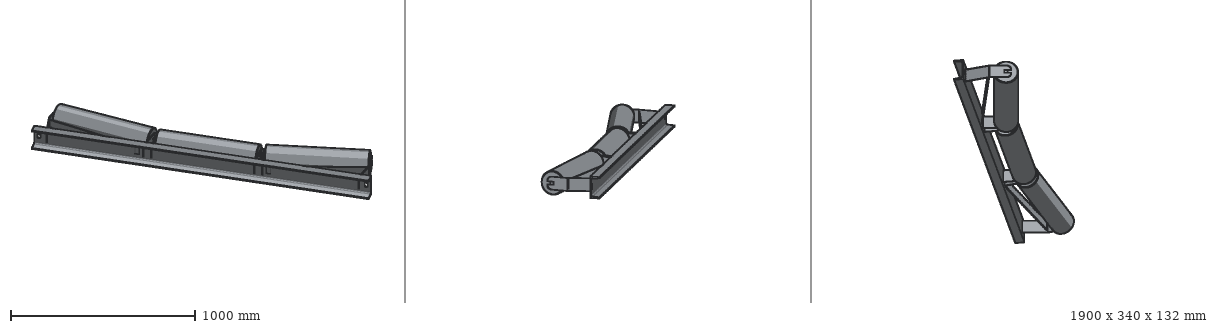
import cadquery as cq
import math


overall_depth = 340.0

beam_length = 1900.0
beam_height = 120.0
beam_depth = 51.0
web_thickness = 5.0
flange_tip_thickness = 8.0
flange_root_thickness = 11.0
root_radius = 8.0
slot_inset = 27.0
mount_slot_width = 17.0
mount_slot_height = 28.0

roller_radius = 66.0
roller_length = 570.0
roller_chamfer = 4.0
trough_angle = 10.0
centre_roller_y = 118.0
wing_roller_x = 600.0
tang_width = 17.0
tang_height = 17.0

plate_thickness = 5.0
plate_width = 72.0
end_clearance = 4.0
inner_bracket_height = 142.0
outer_bracket_bend_y = 137.0
outer_bracket_rise = 28.0
outer_bracket_corner = 27.0
brace_foot_x = 360.0
brace_width = 50.0

tilt = math.radians(trough_angle)
tang_length = end_clearance + plate_thickness
half_roller = roller_length / 2
inner_face = half_roller + end_clearance
outer_face = inner_face + plate_thickness
wing_roller_y = (
    overall_depth
    - beam_depth
    - (half_roller - roller_chamfer) * math.sin(tilt)
    - roller_radius * math.cos(tilt)
)
plate_run = plate_thickness / math.cos(tilt)


def wing_point(along, across):
    """XY point of the +X wing roller: distance along its axis and above its axis."""
    return (
        wing_roller_x + along * math.cos(tilt) - across * math.sin(tilt),
        wing_roller_y + along * math.sin(tilt) + across * math.cos(tilt),
    )


def wing_plane_x(along, y):
    """X at height y on the plane square to the wing roller axis, at a distance along it."""
    return wing_roller_x + along / math.cos(tilt) - (y - wing_roller_y) * math.tan(tilt)


def plate_from_outline(points, width):
    """Extrude an XY outline to a width centred on Z = 0."""
    return cq.Workplane("XY").polyline(points).close().extrude(width).translate((0, 0, -width / 2))


def place_on_wing(body):
    """Move a body from the origin, lying along X, to the +X wing roller axis."""
    return body.rotate((0, 0, 0), (0, 0, 1), trough_angle).translate((wing_roller_x, wing_roller_y, 0))


def mirrored_pair(body):
    """The +X body and its mirror image on the -X side, as separate solids."""
    return [body.val(), body.mirror("YZ").val()]


def make_beam():
    half_height = beam_height / 2
    root_z = half_height - flange_root_thickness
    tip_z = half_height - flange_tip_thickness
    beam = (
        cq.Workplane("YZ")
        .polyline([
            (0, -half_height),
            (0, half_height),
            (-beam_depth, half_height),
            (-beam_depth, tip_z),
            (-web_thickness, root_z),
            (-web_thickness, -root_z),
            (-beam_depth, -tip_z),
            (-beam_depth, -half_height),
        ])
        .close()
        .extrude(beam_length)
        .translate((-beam_length / 2, 0, 0))
    )
    for corner_z in (-root_z, root_z):
        root_corner = cq.selectors.NearestToPointSelector((0, -web_thickness, corner_z))
        beam = beam.edges(root_corner).fillet(root_radius)
    slot_x = beam_length / 2 - slot_inset
    slots = (
        cq.Workplane("XZ")
        .pushPoints([(-slot_x, 0), (slot_x, 0)])
        .slot2D(mount_slot_height, mount_slot_width, 90)
        .extrude(web_thickness)
    )
    return beam.cut(slots)


def make_roller():
    shell = (
        cq.Workplane("YZ")
        .circle(roller_radius)
        .extrude(roller_length)
        .translate((-half_roller, 0, 0))
        .faces("<X or >X")
        .edges()
        .chamfer(roller_chamfer)
    )
    shaft = cq.Workplane("XY").box(roller_length + 2 * tang_length, tang_height, tang_width)
    return shell.union(shaft)


def make_shaft_slot(end_sign):
    """Cutter for the plate beyond one roller end, open at the top edge of the plate."""
    cutter_height = tang_height / 2 + outer_bracket_rise
    return cq.Workplane("XY").box(plate_thickness, cutter_height, tang_width).translate(
        (
            end_sign * (inner_face + outer_face) / 2,
            (cutter_height - tang_height) / 2,
            0,
        )
    )


bend_x = wing_plane_x(inner_face, outer_bracket_bend_y)
outer_foot_x = bend_x - outer_bracket_bend_y * math.tan(tilt)


def make_outer_bracket():
    bracket = plate_from_outline([
        (outer_foot_x, 0),
        (outer_foot_x + plate_run, 0),
        (bend_x + plate_run, outer_bracket_bend_y),
        wing_point(outer_face, outer_bracket_rise),
        wing_point(inner_face, outer_bracket_rise),
        (bend_x, outer_bracket_bend_y),
    ], plate_width)
    axis = cq.Vector(math.cos(tilt), math.sin(tilt), 0)
    bracket = bracket.edges(cq.selectors.ParallelDirSelector(axis)).fillet(outer_bracket_corner)
    return bracket.cut(place_on_wing(make_shaft_slot(1)))


def make_inner_bracket():
    roof_underside = inner_bracket_height - plate_thickness
    bracket = plate_from_outline([
        (inner_face, 0),
        (inner_face, inner_bracket_height),
        (wing_plane_x(-inner_face, inner_bracket_height), inner_bracket_height),
        (wing_plane_x(-inner_face, 0), 0),
        (wing_plane_x(-outer_face, 0), 0),
        (wing_plane_x(-outer_face, roof_underside), roof_underside),
        (outer_face, roof_underside),
        (outer_face, 0),
    ], plate_width)
    centre_slot = make_shaft_slot(1).translate((0, centre_roller_y, 0))
    return bracket.cut(centre_slot).cut(place_on_wing(make_shaft_slot(-1)))


def make_brace():
    slope = math.atan2(outer_bracket_bend_y, bend_x - brace_foot_x)
    foot_run = plate_thickness / math.sin(slope)
    drop = plate_thickness / math.cos(slope + tilt)
    return plate_from_outline([
        (brace_foot_x, 0),
        (bend_x, outer_bracket_bend_y),
        (bend_x - drop * math.sin(tilt), outer_bracket_bend_y - drop * math.cos(tilt)),
        (brace_foot_x + foot_run, 0),
    ], brace_width)


beam = make_beam()
centre_roller = make_roller().translate((0, centre_roller_y, 0))
wing_rollers = mirrored_pair(place_on_wing(make_roller()))
outer_brackets = mirrored_pair(make_outer_bracket())
inner_brackets = mirrored_pair(make_inner_bracket())
braces = mirrored_pair(make_brace())

result = cq.Compound.makeCompound([
    beam.val(),
    centre_roller.val(),
    *wing_rollers,
    *outer_brackets,
    *inner_brackets,
    *braces,
])